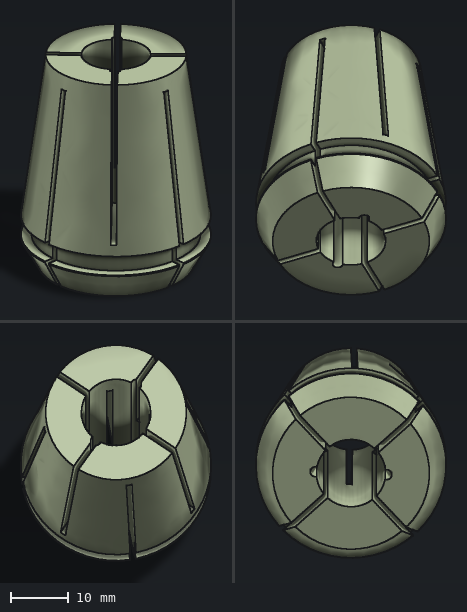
import cadquery as cq
import math

height = 40.0
flange_radius = 16.5
nose_radius = 13.6
nose_chamfer_top = 5.2
groove_bottom = 5.45
groove_top = 9.05
groove_radius = 14.7
taper_top_radius = 12.2
bore_radius = 6.0

slit_width = 1.0
slit_count = 4
slit_spacing = 360 / slit_count
lower_slit_top = 37.3
upper_slit_bottom = 11.1
lower_runout_radius = 7.4
upper_runout_radius = 13.2
lower_runout_start = 12.6
upper_runout_start = 16.2

relief_radius = 0.9
relief_offset = 6.2
relief_angles = (135, 315)

cut_margin = 2.0


def make_body():
    """Revolve the outer profile together with the bore."""
    profile = [
        (bore_radius, 0),
        (nose_radius, 0),
        (flange_radius, nose_chamfer_top),
        (flange_radius, groove_bottom),
        (groove_radius, groove_bottom),
        (groove_radius, groove_top),
        (flange_radius, groove_top),
        (taper_top_radius, height),
        (bore_radius, height),
    ]
    return cq.Workplane("XZ").polyline(profile).close().revolve(360, (0, 0), (0, 1))


def make_slit(open_z, closed_z, runout_radius, runout_start, angle):
    """Radial slit whose closed end curves toward the open end near the bore."""
    toward_open = math.copysign(1, open_z - closed_z)
    outside = flange_radius + cut_margin

    def end_z(radius):
        inward = runout_start - radius
        return closed_z + toward_open * (runout_radius - math.sqrt(runout_radius**2 - inward**2))

    inner = bore_radius - slit_width / 4
    middle = (inner + runout_start) / 2
    beyond_open = open_z + toward_open * cut_margin
    return (
        cq.Workplane("XZ")
        .moveTo(inner, beyond_open)
        .lineTo(inner, end_z(inner))
        .threePointArc((middle, end_z(middle)), (runout_start, closed_z))
        .lineTo(outside, closed_z)
        .lineTo(outside, beyond_open)
        .close()
        .extrude(slit_width / 2, both=True)
        .rotate((0, 0, 0), (0, 0, 1), angle)
    )


def make_relief(angle):
    """Round groove along the full length of the bore."""
    return (
        cq.Workplane("XY")
        .center(relief_offset, 0)
        .circle(relief_radius)
        .extrude(height)
        .rotate((0, 0, 0), (0, 0, 1), angle)
    )


result = make_body()

for index in range(slit_count):
    lower_angle = index * slit_spacing
    upper_angle = lower_angle + slit_spacing / 2
    result = result.cut(
        make_slit(0, lower_slit_top, lower_runout_radius, lower_runout_start, lower_angle)
    )
    result = result.cut(
        make_slit(height, upper_slit_bottom, upper_runout_radius, upper_runout_start, upper_angle)
    )

for relief_angle in relief_angles:
    result = result.cut(make_relief(relief_angle))